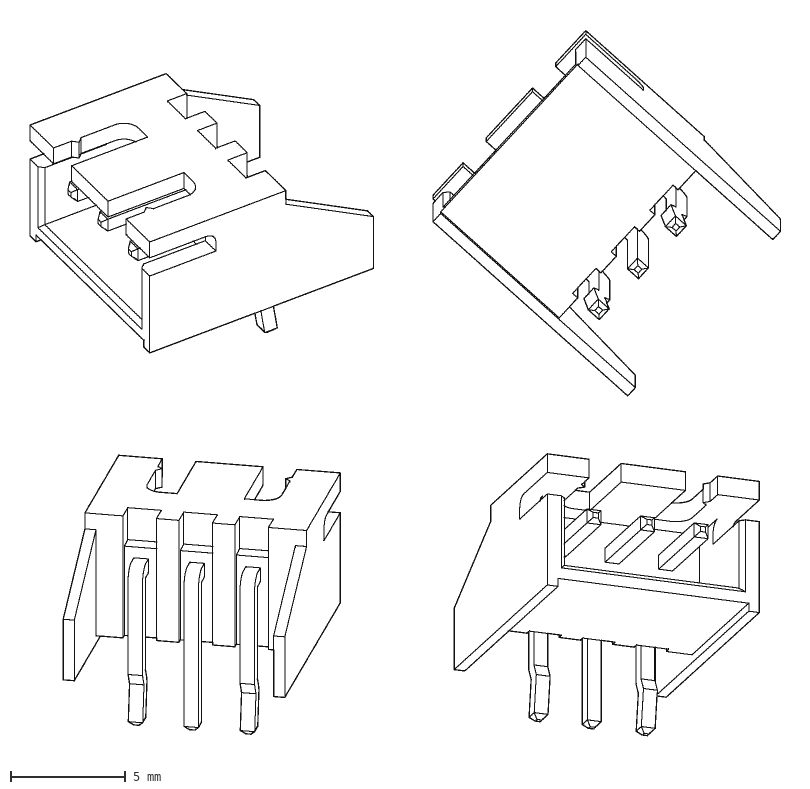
import cadquery as cq


WIDTH = 9.9
LENGTH = 11.5
HEIGHT = 6.1
BLOCK_LENGTH = 6.7
RIB_END = 7.0
ROOF_THICKNESS = 0.87
ROOF_UNDERSIDE = HEIGHT - ROOF_THICKNESS

WING_THICKNESS = 0.5
WING_REAR_HEIGHT = 2.85
WING_FRONT_HEIGHT = 5.35
FLOOR_CLEARANCE = 0.37

CAVITY_WIDTH = 8.15
CAVITY_DEPTH = 5.1
CAVITY_FLOOR = 1.1
LEAD_IN = 0.22

SIDE_SLOT_DEPTH = 3.4
SIDE_SLOT_BOTTOM = 4.23
SIDE_SLOT_RADIUS = 0.5

ROOF_SLOT_INNER = 1.5
ROOF_SLOT_OUTER = 3.0
ROOF_SLOT_DEPTH = 3.9
ROOF_SLOT_RADIUS = 0.75
NUB_POSITION = 1.17
NUB_SIZE = 0.24

PIN_COUNT = 3
PITCH = 2.5
PIN_SIZE = 0.65
PIN_HEIGHT = 3.73
PIN_FRONT = 0.5
PIN_REAR = 7.92
PIN_BOTTOM = -3.4
BEND_RADIUS = 0.7
TIP_LENGTH = 0.22
TIP_SIZE = 0.24
KINK_TOP = -0.95
KINK_PEAK = -1.5
KINK_OFFSET = 0.3
KINK_END_OFFSET = 0.04

NOTCH_WIDTH = 1.5
NOTCH_FRONT = 6.0
NOTCH_FLOOR = 4.6
NOTCH_DROP = 0.035

PIN_POSITIONS = [(i - (PIN_COUNT - 1) / 2) * PITCH for i in range(PIN_COUNT)]


def box(x0, x1, y0, y1, z0, z1):
    return cq.Workplane("XY").box(x1 - x0, y1 - y0, z1 - z0, centered=False).translate((x0, y0, z0))


def extrude_across(profile, width, x_center=0):
    """Extrude a closed YZ profile along X, centred on x_center."""
    return profile.extrude(width / 2, both=True).translate((x_center, 0, 0))


def make_shell():
    half = WIDTH / 2
    shell = box(-half, half, 0, BLOCK_LENGTH, FLOOR_CLEARANCE, HEIGHT)
    rib_starts = [-half] + [x + NOTCH_WIDTH / 2 for x in PIN_POSITIONS]
    rib_ends = [x - NOTCH_WIDTH / 2 for x in PIN_POSITIONS] + [half]
    for left, right in zip(rib_starts, rib_ends):
        shell = shell.union(box(left, right, BLOCK_LENGTH, RIB_END, FLOOR_CLEARANCE, HEIGHT))
    wing_points = [
        (0, 0),
        (LENGTH, 0),
        (LENGTH, WING_REAR_HEIGHT),
        (RIB_END, WING_FRONT_HEIGHT),
        (RIB_END, HEIGHT),
        (0, HEIGHT),
    ]
    for side in (-1, 1):
        profile = cq.Workplane("YZ").polyline(wing_points).close()
        shell = shell.union(extrude_across(profile, WING_THICKNESS, side * (half - WING_THICKNESS / 2)))
    return shell


def make_cavity():
    half = CAVITY_WIDTH / 2
    cavity = box(-half, half, 0, CAVITY_DEPTH, CAVITY_FLOOR, ROOF_UNDERSIDE)
    lead_in_height = SIDE_SLOT_BOTTOM - CAVITY_FLOOR
    mouth_center = (0, CAVITY_FLOOR + (lead_in_height - LEAD_IN) / 2)
    throat_center = (0, LEAD_IN / 2)
    lead_in = (
        cq.Workplane("XZ")
        .center(*mouth_center)
        .rect(CAVITY_WIDTH + 2 * LEAD_IN, lead_in_height + LEAD_IN)
        .workplane(offset=-LEAD_IN)
        .center(*throat_center)
        .rect(CAVITY_WIDTH, lead_in_height)
        .loft(ruled=True)
    )
    return cavity.union(lead_in)


def make_side_slot():
    slot = box(-WIDTH / 2, WIDTH / 2, 0, SIDE_SLOT_DEPTH, SIDE_SLOT_BOTTOM, ROOF_UNDERSIDE)
    return slot.edges(">Y and >Z").fillet(SIDE_SLOT_RADIUS)


def make_roof_slot(side):
    """Slot with one rounded outer corner and a triangular nub on its outer edge."""
    slot = (
        cq.Workplane("XY")
        .workplane(offset=ROOF_UNDERSIDE)
        .moveTo(side * ROOF_SLOT_INNER, 0)
        .lineTo(side * ROOF_SLOT_INNER, ROOF_SLOT_DEPTH)
        .lineTo(side * (ROOF_SLOT_OUTER - ROOF_SLOT_RADIUS), ROOF_SLOT_DEPTH)
        .tangentArcPoint((side * ROOF_SLOT_OUTER, ROOF_SLOT_DEPTH - ROOF_SLOT_RADIUS), relative=False)
        .lineTo(side * ROOF_SLOT_OUTER, NUB_POSITION + NUB_SIZE)
        .lineTo(side * (ROOF_SLOT_OUTER - NUB_SIZE), NUB_POSITION)
        .lineTo(side * ROOF_SLOT_OUTER, NUB_POSITION - NUB_SIZE)
        .lineTo(side * ROOF_SLOT_OUTER, 0)
        .close()
    )
    return slot.extrude(ROOF_THICKNESS)


def make_rear_notch(x):
    profile = (
        cq.Workplane("YZ")
        .moveTo(NOTCH_FRONT, HEIGHT)
        .lineTo(NOTCH_FRONT, NOTCH_FLOOR)
        .lineTo(BLOCK_LENGTH, NOTCH_FLOOR - NOTCH_DROP)
        .lineTo(BLOCK_LENGTH, HEIGHT)
        .close()
    )
    return extrude_across(profile, NOTCH_WIDTH, x)


def make_tip(plane):
    """Square tapered tip pointing along the normal of the given plane."""
    return (
        cq.Workplane(plane)
        .rect(PIN_SIZE, PIN_SIZE)
        .workplane(offset=TIP_LENGTH)
        .rect(TIP_SIZE, TIP_SIZE)
        .loft(ruled=True)
    )


def make_pin(x, kinked):
    """Right-angle pin; a kinked leg bows forward below the housing."""
    top = PIN_HEIGHT + PIN_SIZE / 2
    bottom = PIN_HEIGHT - PIN_SIZE / 2
    leg_front = PIN_REAR - PIN_SIZE
    shank_front = PIN_FRONT + TIP_LENGTH
    shank_bottom = PIN_BOTTOM + TIP_LENGTH
    inner_radius = BEND_RADIUS - PIN_SIZE
    end_offset = KINK_END_OFFSET if kinked else 0

    profile = (
        cq.Workplane("YZ")
        .moveTo(shank_front, top)
        .lineTo(PIN_REAR - BEND_RADIUS, top)
        .tangentArcPoint((PIN_REAR, top - BEND_RADIUS), relative=False)
    )
    if kinked:
        profile = profile.lineTo(PIN_REAR, KINK_TOP).lineTo(PIN_REAR - KINK_OFFSET, KINK_PEAK)
    profile = profile.lineTo(PIN_REAR - end_offset, shank_bottom).lineTo(leg_front - end_offset, shank_bottom)
    if kinked:
        profile = profile.lineTo(leg_front - KINK_OFFSET, KINK_PEAK).lineTo(leg_front, KINK_TOP)
    profile = (
        profile.lineTo(leg_front, bottom - inner_radius)
        .tangentArcPoint((leg_front - inner_radius, bottom), relative=False)
        .lineTo(shank_front, bottom)
        .close()
    )

    leg_center = PIN_REAR - PIN_SIZE / 2 - end_offset
    front_plane = cq.Plane((x, shank_front, PIN_HEIGHT), (1, 0, 0), (0, -1, 0))
    bottom_plane = cq.Plane((x, leg_center, shank_bottom), (1, 0, 0), (0, 0, -1))
    pin = extrude_across(profile, PIN_SIZE, x)
    return pin.union(make_tip(front_plane)).union(make_tip(bottom_plane))


housing = make_shell().cut(make_cavity()).cut(make_side_slot())
for slot_side in (-1, 1):
    housing = housing.cut(make_roof_slot(slot_side))
for pin_x in PIN_POSITIONS:
    housing = housing.cut(make_rear_notch(pin_x))

result = housing
for pin_x in PIN_POSITIONS:
    is_end_pin = pin_x in (PIN_POSITIONS[0], PIN_POSITIONS[-1])
    result = result.union(make_pin(pin_x, kinked=is_end_pin))